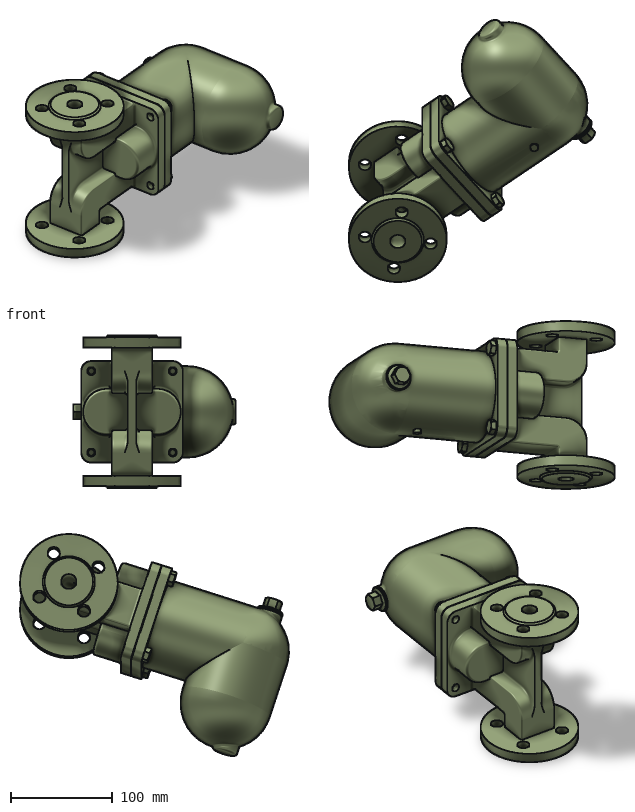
import cadquery as cq
import math

FACE_TO_FACE = 150.0
FLANGE_DIA = 96.0
FLANGE_THICK = 10.0
FACE_RAISE = 2.0
FACE_DIA = 51.3
BORE_DIA = 15.0
BORE_BEND = 8.2
FLANGE_HOLE_DIA = 12.0
FLANGE_HOLE_CIRCLE = 65.0
FLANGE_HOLE_COUNT = 4

ARM_WIDTH = 39.9
ARM_DEPTH = 30.0
ARM_TOP = 48.0
ELBOW_RADIUS = 21.8
WEB_THICK = 8.2
BOSS_CENTRES = 50.8
BOSS_HEIGHT = 45.0
BOSS_FRONT = 39.9
EDGE_ROUND = 2.0
CAST_ROUND = 3.0
POCKET_MARGIN = 5.5

PLATE_SIDE = 100.0
PLATE_THICK = 10.0
PLATE_CORNER = 10.0
PLATE_FRONT = 70.0
JOINT_GAP = 0.5

BOLT_DIA = 8.0
BOLT_SPACING = 80.0
BOLT_HEAD_FLATS = 13.0
BOLT_HEAD_HEIGHT = 5.5
BOLT_RECESS = 6.8
BOLT_CHAMFER = 0.8
HEAD_CHAMFER = 0.8
BOLT_PLACES = ((-1, 1, 5), (1, 1, 20), (-1, -1, 30), (1, -1, 0))

BOWL_DIA = 90.0
BOWL_CORNER_Y = 180.0
BOWL_REACH_X = 54.3
PORT_Y = 193.0
PORT_DIA = 25.5
PLUG_SEAT = -45.3
BLIND_PORT_END = 102.0
PORT_LENGTH = 21.8
NUB_DIA = 8.0
NUB_X = -12.3
NUB_Y = 160.8
NUB_BOTTOM = -45.5
NUB_LENGTH = 11.0

PLUG_FLATS = 15.0
PLUG_END = -58.0
PLUG_COLLAR_THICK = 2.2
PLUG_CONE = 1.5
PLUG_RIM = 0.8
PLUG_STEM_DIA = 13.0
PLUG_STEM_LENGTH = 11.0

PICK_SLACK = 0.3

half_height = FACE_TO_FACE / 2
flange_top = half_height - FACE_RAISE
arm_bottom = ARM_TOP - ARM_DEPTH
arm_middle = ARM_TOP - ARM_DEPTH / 2
joint_face = PLATE_FRONT + PLATE_THICK
cover_face = joint_face + JOINT_GAP
cover_back = cover_face + PLATE_THICK
bowl_radius = BOWL_DIA / 2


def along_y(y):
    """Workplane at the given Y whose normal points to +Y; local x is X and local y is -Z."""
    return cq.Workplane("XZ", origin=(0, y, 0)).transformed(rotate=(180, 0, 0))


def along_x(x):
    """Workplane at the given X whose normal points to +X; local x is Y and local y is Z."""
    return cq.Workplane("YZ", origin=(x, 0, 0))


def square_column(y, depth):
    return along_y(y).rect(PLATE_SIDE, PLATE_SIDE).extrude(depth).edges("|Y").fillet(PLATE_CORNER)


def square_plate(y):
    return square_column(y, PLATE_THICK)


def bolt_holes(depth_from, depth_to):
    return (
        along_y(depth_from).rect(BOLT_SPACING, BOLT_SPACING, forConstruction=True).vertices()
        .circle(BOLT_DIA / 2).extrude(depth_to - depth_from)
    )


def upper_flange():
    disc = (
        cq.Workplane("XY", origin=(0, 0, flange_top - FLANGE_THICK))
        .circle(FLANGE_DIA / 2).extrude(FLANGE_THICK)
    )
    face = (
        cq.Workplane("XY", origin=(0, 0, flange_top))
        .circle(FACE_DIA / 2).extrude(FACE_RAISE, taper=45)
    )
    holes = (
        cq.Workplane("XY", origin=(0, 0, flange_top - FLANGE_THICK))
        .polarArray(FLANGE_HOLE_CIRCLE / 2, 180 / FLANGE_HOLE_COUNT, 360, FLANGE_HOLE_COUNT)
        .circle(FLANGE_HOLE_DIA / 2).extrude(FLANGE_THICK)
    )
    return disc.union(face).cut(holes)


def arm_frame():
    """C-shaped casting: both legs, both arms and the web left between two side pockets."""
    front = -ARM_DEPTH / 2
    back = ARM_DEPTH / 2
    leg_end = flange_top - FLANGE_THICK
    frame = (
        cq.Workplane("YZ").moveTo(front, -leg_end).lineTo(front, leg_end)
        .lineTo(back, leg_end).lineTo(back, ARM_TOP).lineTo(PLATE_FRONT, ARM_TOP)
        .lineTo(PLATE_FRONT, -ARM_TOP).lineTo(back, -ARM_TOP).lineTo(back, -leg_end).close()
        .extrude(ARM_WIDTH / 2, both=True)
    )
    inner_corners = frame.edges("|X").edges(cq.selectors.BoxSelector(
        (-ARM_WIDTH, back - PICK_SLACK, -ARM_TOP - PICK_SLACK),
        (ARM_WIDTH, back + PICK_SLACK, ARM_TOP + PICK_SLACK)))
    frame = inner_corners.fillet(EDGE_ROUND)
    pocket = side_pocket()
    frame = frame.cut(pocket).cut(pocket.mirror("YZ"))
    return frame.faces("<X or >X").edges("not(<Z or >Z or >Y)").fillet(EDGE_ROUND)


def side_pocket():
    """Pocket beside the web, bounded by the arms and their elbows, with a rounded floor edge."""
    front = -ARM_DEPTH / 2
    elbow_y = front + ELBOW_RADIUS
    elbow_z = arm_bottom + ELBOW_RADIUS
    swing = ELBOW_RADIUS * math.sin(math.radians(45))
    mouth_y = front - POCKET_MARGIN
    mouth_z = elbow_z + POCKET_MARGIN
    end_y = BOSS_FRONT + POCKET_MARGIN
    pocket = (
        cq.Workplane("YZ", origin=(WEB_THICK / 2, 0, 0))
        .moveTo(mouth_y, -mouth_z).lineTo(front, -mouth_z).lineTo(front, -elbow_z)
        .threePointArc((elbow_y - swing, -elbow_z + swing), (elbow_y, -arm_bottom))
        .lineTo(end_y, -arm_bottom).lineTo(end_y, arm_bottom).lineTo(elbow_y, arm_bottom)
        .threePointArc((elbow_y - swing, elbow_z - swing), (front, elbow_z))
        .lineTo(front, mouth_z).lineTo(mouth_y, mouth_z).close().extrude(ARM_WIDTH)
    )
    return pocket.faces("<X").edges("not(<Y or >Y or <Z or >Z)").fillet(CAST_ROUND)


def upper_passage():
    """Bore from the flange face, round the bend and along the arm to the joint."""
    path = (
        cq.Workplane("YZ").moveTo(0, half_height).lineTo(0, arm_middle + BORE_BEND)
        .radiusArc((BORE_BEND, arm_middle), -BORE_BEND)
        .lineTo(cover_face, arm_middle)
    )
    return cq.Workplane("XY", origin=(0, 0, half_height)).circle(BORE_DIA / 2).sweep(path)


def front_boss():
    """Slot-shaped boss in front of the plate, with a rounded front rim."""
    return (
        along_y(BOSS_FRONT).slot2D(BOSS_CENTRES + BOSS_HEIGHT, BOSS_HEIGHT)
        .extrude(PLATE_FRONT - BOSS_FRONT).faces("<Y").edges().fillet(CAST_ROUND)
    )


def rooted_casting():
    """Frame and boss blended into the plate; the blend ends at the plate outline."""
    wide = PLATE_SIDE + 4 * CAST_ROUND
    slab = along_y(PLATE_FRONT).rect(wide, wide).extrude(PLATE_THICK)
    casting = slab.union(arm_frame()).union(front_boss())
    reach = PLATE_SIDE / 2 + CAST_ROUND
    roots = casting.edges(cq.selectors.BoxSelector(
        (-reach, PLATE_FRONT - PICK_SLACK, -reach), (reach, PLATE_FRONT + PICK_SLACK, reach)))
    casting = roots.fillet(CAST_ROUND)
    root_start = PLATE_FRONT - CAST_ROUND
    root_depth = joint_face - root_start
    trim = (
        along_y(root_start).rect(2 * wide, 2 * wide).extrude(root_depth)
        .cut(square_column(root_start, root_depth))
    )
    return casting.cut(trim)


def make_housing():
    flange = upper_flange()
    passage = upper_passage()
    joint_land = along_y(joint_face).circle(bowl_radius).extrude(JOINT_GAP)
    body = rooted_casting().union(flange).union(flange.mirror("XY")).union(joint_land)
    return body.cut(passage).cut(passage.mirror("XY")).cut(bolt_holes(PLATE_FRONT, joint_face))


def bowl_shell():
    """Barrel along Y meeting a side barrel along X in a mitre, with round outer corner and dome."""
    barrel = along_y(cover_back).circle(bowl_radius).extrude(BOWL_CORNER_Y - cover_back)
    side = along_x(0).center(BOWL_CORNER_Y, 0).circle(bowl_radius).extrude(BOWL_REACH_X)
    half_disc = (
        cq.Workplane("XZ", origin=(0, BOWL_CORNER_Y, 0)).moveTo(0, -bowl_radius)
        .threePointArc((-bowl_radius, 0), (0, bowl_radius)).close()
    )
    corner = half_disc.revolve(90, (0, 2.7), (0, 0))
    dome = (
        cq.Workplane("XY", origin=(BOWL_REACH_X, BOWL_CORNER_Y, 0)).moveTo(0, 0).lineTo(bowl_radius, 0)
        .threePointArc((bowl_radius * math.sqrt(0.5), bowl_radius * math.sqrt(0.5)), (0, bowl_radius))
        .close().revolve(360, (0, 0), (1, 0))
    )
    return barrel.union(side).union(corner).union(dome)


def port(end_x, length, rim):
    """Round port boss along X, from its rounded outer end inward."""
    boss = along_x(end_x).center(PORT_Y, 0).circle(PORT_DIA / 2).extrude(length)
    return boss.faces(rim).edges().fillet(CAST_ROUND)


def make_bowl():
    """Bowl shell with the plug port and the blind port blended into it."""
    bowl = (
        bowl_shell().union(port(PLUG_SEAT, PORT_LENGTH, "<X"))
        .union(port(BLIND_PORT_END, -PORT_LENGTH, ">X"))
    )
    near_ports = cq.selectors.BoxSelector(
        (PLUG_SEAT, PORT_Y - PORT_DIA, -PORT_DIA), (BLIND_PORT_END, PORT_Y + PORT_DIA, PORT_DIA))
    return bowl.edges(near_ports).edges("%BSPLINE").fillet(CAST_ROUND)


def make_cover():
    nub = (
        cq.Workplane("XY", origin=(NUB_X, NUB_Y, NUB_BOTTOM))
        .circle(NUB_DIA / 2).extrude(NUB_LENGTH)
    )
    plug_hole = along_x(PLUG_SEAT).center(PORT_Y, 0).circle(PLUG_STEM_DIA / 2).extrude(PLUG_STEM_LENGTH)
    cover = make_bowl().union(square_plate(cover_face)).union(nub)
    return cover.cut(bolt_holes(cover_face, cover_back)).cut(plug_hole)


def hex_head(base, flats, height):
    """Hexagonal head on the given workplane, with its outer corners turned off by a chamfer."""
    corner_radius = flats / math.sqrt(3)
    prism = base.polygon(6, 2 * corner_radius).extrude(height)
    envelope = base.circle(corner_radius).extrude(height)
    outer_end = base.plane.zDir * math.copysign(1, height)
    turned = envelope.faces(cq.selectors.DirectionMinMaxSelector(outer_end)).chamfer(HEAD_CHAMFER)
    return prism.intersect(turned)


def make_bolt(side_x, side_z, head_turn):
    """Bolt through both plates; head_turn is the angle of a hexagon corner from the X axis."""
    start = PLATE_FRONT + BOLT_RECESS
    shank = (
        along_y(start).circle(BOLT_DIA / 2).extrude(cover_back - start)
        .faces("<Y").chamfer(BOLT_CHAMFER)
    )
    seat = along_y(cover_back).transformed(rotate=(0, 0, head_turn))
    head = hex_head(seat, BOLT_HEAD_FLATS, BOLT_HEAD_HEIGHT)
    return shank.union(head).translate((side_x * BOLT_SPACING / 2, 0, side_z * BOLT_SPACING / 2))


def make_plug():
    """Hexagon-headed screw plug with a round collar that narrows toward the head."""
    collar_front = PLUG_SEAT - PLUG_COLLAR_THICK
    cone_front = collar_front - PLUG_CONE
    rim_start = collar_front + PLUG_RIM
    collar_radius = PORT_DIA / 2
    profile = (
        cq.Workplane("XY").moveTo(PLUG_SEAT, 0).lineTo(PLUG_SEAT, collar_radius)
        .lineTo(rim_start, collar_radius).lineTo(collar_front, collar_radius - PLUG_RIM)
        .lineTo(cone_front, PLUG_FLATS / 2).lineTo(cone_front, 0).close()
    )
    collar = profile.revolve(360, (0, 0), (1, 0)).translate((0, PORT_Y, 0))
    stem = along_x(PLUG_SEAT).center(PORT_Y, 0).circle(PLUG_STEM_DIA / 2).extrude(PLUG_STEM_LENGTH)
    head = hex_head(along_x(collar_front).center(PORT_Y, 0), PLUG_FLATS, PLUG_END - collar_front)
    return collar.union(stem).union(head)


housing = make_housing()
cover = make_cover()
bolts = [make_bolt(*place) for place in BOLT_PLACES]
plug = make_plug()

result = cq.Compound.makeCompound([housing.val(), cover.val(), *[b.val() for b in bolts], plug.val()])